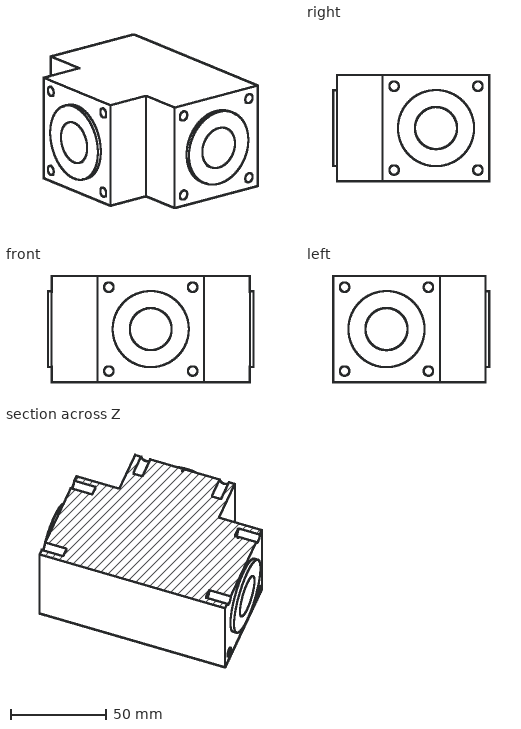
import cadquery as cq

section = 56.0
run_length = 104.0
branch_reach = 52.0

boss_diameter = 40.0
boss_height = 2.0
bore_diameter = 22.0
bolt_hole_diameter = 5.0
bolt_hole_spacing = 44.0
bolt_hole_depth = 12.0

half_run = run_length / 2

ports = [
    ((-half_run, 0, 0), (-1, 0, 0)),
    ((half_run, 0, 0), (1, 0, 0)),
    ((0, -branch_reach, 0), (0, -1, 0)),
]


def port_plane(centre, normal):
    """Workplane on a port face, pointing outward, with one axis along Z."""
    across = (-normal[1], normal[0], 0)
    return cq.Workplane(cq.Plane(origin=centre, xDir=across, normal=normal))


def tee_block():
    """Square-section run with a square-section branch toward -Y."""
    run = cq.Workplane("XY").box(run_length, section, section)
    branch = cq.Workplane("XY").box(section, branch_reach, section)
    return run.union(branch.translate((0, -branch_reach / 2, 0)))


def boss(centre, normal):
    """Raised round spigot on a port face."""
    return port_plane(centre, normal).circle(boss_diameter / 2).extrude(boss_height)


def bore(centre, normal, depth):
    """Round bore from the top of the boss to the given depth below the port face."""
    start = port_plane(centre, normal).workplane(offset=boss_height)
    return start.circle(bore_diameter / 2).extrude(-(depth + boss_height))


def bolt_holes(centre, normal):
    """Four blind holes at the corners of a port face."""
    corners = port_plane(centre, normal).rect(bolt_hole_spacing, bolt_hole_spacing, forConstruction=True)
    return corners.vertices().circle(bolt_hole_diameter / 2).extrude(-bolt_hole_depth)


result = tee_block()
for port in ports:
    result = result.union(boss(*port))

run_start, _, branch_end = ports
result = result.cut(bore(*run_start, run_length + boss_height))
result = result.cut(bore(*branch_end, branch_reach))

for port in ports:
    result = result.cut(bolt_holes(*port))